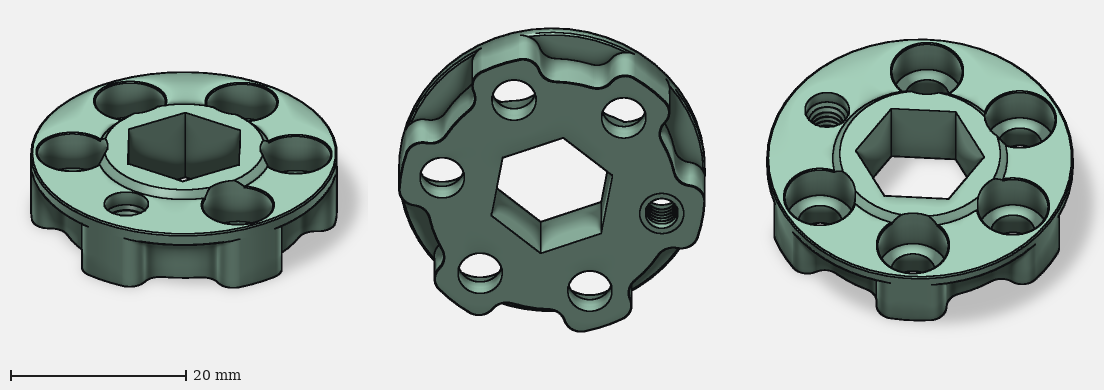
import cadquery as cq
import math

lobe_height = 6.35
flange_thickness = 1.57
boss_height = 0.8
flange_top = lobe_height + flange_thickness
hub_top = flange_top + boss_height

flange_radius = 17.45
flange_top_chamfer = 0.17
flange_bottom_chamfer = 0.2
boss_base_radius = 9.95
hex_sides = 6
hex_across_flats = 12.7
hex_across_corners = hex_across_flats / math.cos(math.pi / hex_sides)

hole_count = 6
pitch_angle = 360.0 / hole_count
lobe_half_width = 4.0
valley_radius = 14.28
lobe_round = 2.0
lobe_chamfer = 0.1

bolt_circle_radius = hex_across_flats
screw_hole_radius = 2.5
counterbore_radius = 4.0
counterbore_floor = lobe_height / 2
counterbore_chamfer = 0.15

insert_angle = 270.0
insert_radius = screw_hole_radius
insert_recess = 1.7
insert_top = flange_top - insert_recess
insert_lead_in_radius = 2.1
thread_start_depth = 1.0
thread_crest_radius = 1.85
thread_root_radius = 2.37
thread_pitch = 0.8
thread_flank_angle = 30.0
thread_crest_width = 0.1
thread_groove_count = 6


def polar(radius, angle):
    """Point at a radius and an angle in degrees about the hub axis."""
    return (radius * math.cos(math.radians(angle)), radius * math.sin(math.radians(angle)))


def place(x, y):
    """Radius and angle in degrees of a point about the hub axis."""
    return (math.hypot(x, y), math.degrees(math.atan2(y, x)))


def blend_middle(centre_radius, centre_angle, direction):
    """Radius and angle of the point on a lobe blend that lies in a direction from its centre."""
    x, y = polar(centre_radius, centre_angle)
    dx, dy = polar(lobe_round, direction)
    return place(x + dx, y + dy)


def lobed_outline():
    """Closed outline of rounded lobes flush with the flange rim and blended into valley arcs."""
    tip_centre_radius = flange_radius - lobe_round
    tip_angle = math.degrees(math.asin((lobe_half_width - lobe_round) / tip_centre_radius))
    root_centre_radius = valley_radius + lobe_round
    root_angle = math.degrees(math.asin((lobe_half_width + lobe_round) / root_centre_radius))

    flank_outer = place(tip_centre_radius * math.cos(math.radians(tip_angle)), lobe_half_width)
    flank_inner = place(root_centre_radius * math.cos(math.radians(root_angle)), lobe_half_width)

    tip_end = 90.0
    root_start = tip_end + 180
    tip_middle = blend_middle(tip_centre_radius, tip_angle, (tip_angle + tip_end) / 2)
    root_middle = blend_middle(root_centre_radius, root_angle, (root_start + root_angle + 180) / 2)

    outline = cq.Workplane("XY").moveTo(*polar(flange_radius, insert_angle - tip_angle))
    for i in range(hole_count):
        lobe = insert_angle + i * pitch_angle
        next_lobe = lobe + pitch_angle

        def after(spot):
            return polar(spot[0], lobe + spot[1])

        def before(spot):
            return polar(spot[0], next_lobe - spot[1])

        outline = (
            outline
            .threePointArc(polar(flange_radius, lobe), polar(flange_radius, lobe + tip_angle))
            .threePointArc(after(tip_middle), after(flank_outer))
            .lineTo(*after(flank_inner))
            .threePointArc(after(root_middle), polar(valley_radius, lobe + root_angle))
            .threePointArc(polar(valley_radius, lobe + pitch_angle / 2),
                           polar(valley_radius, next_lobe - root_angle))
            .threePointArc(before(root_middle), before(flank_inner))
            .lineTo(*before(flank_outer))
            .threePointArc(before(tip_middle), polar(flange_radius, next_lobe - tip_angle))
        )
    return outline.close()


def cylinder(radius, bottom, top):
    return cq.Workplane("XY").workplane(offset=bottom).circle(radius).extrude(top - bottom)


def cone(bottom_radius, top_radius, bottom, top):
    solid = cq.Solid.makeCone(bottom_radius, top_radius, top - bottom, cq.Vector(0, 0, bottom))
    return cq.Workplane(solid)


def make_hub():
    rim_bottom = lobe_height + flange_bottom_chamfer
    lobes = lobed_outline().extrude(rim_bottom).faces("<Z").edges().chamfer(lobe_chamfer)
    underside = cone(flange_radius - flange_bottom_chamfer, flange_radius, lobe_height, rim_bottom)
    rim = cylinder(flange_radius, rim_bottom, flange_top).faces(">Z").edges().chamfer(flange_top_chamfer)
    hub = lobes.union(underside).union(rim)

    counterbore_places = [
        polar(bolt_circle_radius, insert_angle + i * pitch_angle) for i in range(1, hole_count)
    ]
    rim_bevel = cone(counterbore_radius, counterbore_radius + counterbore_chamfer,
                     flange_top - counterbore_chamfer, flange_top)
    for x, y in counterbore_places:
        hub = hub.cut(rim_bevel.translate((x, y, 0)))

    boss = cylinder(boss_base_radius, lobe_height, flange_top)
    boss = boss.union(cone(boss_base_radius, boss_base_radius - boss_height, flange_top, hub_top))
    hub = hub.union(boss)

    counterbore = cylinder(counterbore_radius, counterbore_floor, hub_top)
    screw_hole = cylinder(screw_hole_radius, 0, hub_top)
    for x, y in counterbore_places:
        hub = hub.cut(counterbore.translate((x, y, 0)))
        hub = hub.cut(screw_hole.translate((x, y, 0)))

    insert_x, insert_y = polar(bolt_circle_radius, insert_angle)
    hub = hub.cut(cylinder(insert_radius, 0, flange_top).translate((insert_x, insert_y, 0)))

    return hub.cut(cq.Workplane("XY").polygon(hex_sides, hex_across_corners).extrude(hub_top))


def make_insert():
    """Sleeve with a 45 degree lead-in and a bore thread simplified to level 60 degree grooves."""
    flank_height = (thread_root_radius - thread_crest_radius) * math.tan(math.radians(thread_flank_angle))
    lead_in_depth = insert_radius - insert_lead_in_radius
    profile = [
        (thread_crest_radius, 0),
        (insert_radius, 0),
        (insert_radius, insert_top),
        (insert_lead_in_radius, insert_top - lead_in_depth),
    ]
    for i in range(thread_groove_count):
        crest_top = insert_top - thread_start_depth - i * thread_pitch
        crest_above = crest_top + thread_pitch - thread_crest_width
        profile += [
            (thread_root_radius, crest_above - flank_height),
            (thread_root_radius, crest_top + flank_height),
            (thread_crest_radius, crest_top),
            (thread_crest_radius, crest_top - thread_crest_width),
        ]
    profile.pop()
    sleeve = cq.Workplane("XZ").polyline(profile).close().revolve(360, (0, 0, 0), (0, 1, 0))
    x, y = polar(bolt_circle_radius, insert_angle)
    return sleeve.translate((x, y, 0))


hub = make_hub()
insert = make_insert()

result = cq.Compound.makeCompound([hub.val(), insert.val()])